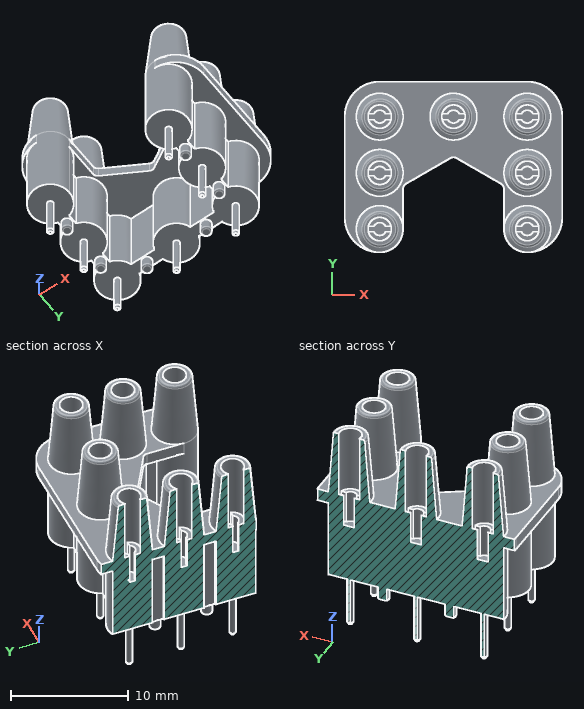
import math

import cadquery as cq

COLUMN_PITCH = 6.3
ROW_PITCH = 4.8
SIDE_ROWS = 3
FRONT_ROW_Y = -(SIDE_ROWS - 1) * ROW_PITCH

HOUSING_HEIGHT = 8.5
PLATE_THICKNESS = 1.2
TOWER_HEIGHT = 6.2
PIN_LENGTH = 4.6
PEG_LENGTH = 1.2
TOWER_TOP_Z = HOUSING_HEIGHT + TOWER_HEIGHT
PLATE_BOTTOM_Z = HOUSING_HEIGHT - PLATE_THICKNESS

HOUSING_RADIUS = 2.0
TOWER_TOP_RADIUS = 1.52
TOWER_RIM_FILLET = 0.2
WEB_THICKNESS = 1.2

PLATE_CORNER_RADIUS = 3.0
NOTCH_APEX_Y = -3.4
NOTCH_ROOF_ANGLE = 30.0
NOTCH_FILLET = 0.5

BORE_RADIUS = 1.0
BORE_DEPTH = TOWER_HEIGHT
SOCKET_RADIUS = 0.55
SLOT_WIDTH = 0.5
SOCKET_DEPTH = 3.0

PIN_RADIUS = 0.3
PIN_TIP_CHAMFER = 0.15
PIN_TIP_HEIGHT = 0.25
PEG_RADIUS = 0.5
PEG_EDGE_FILLET = 0.15

SIDES = (-1, 1)
side_contacts = [(side * COLUMN_PITCH, -row * ROW_PITCH) for side in SIDES for row in range(SIDE_ROWS)]
contacts = [(0, 0)] + side_contacts

back_web_centers = [(side * COLUMN_PITCH / 2, 0) for side in SIDES]
side_web_centers = [
    (side * COLUMN_PITCH, -(gap + 0.5) * ROW_PITCH) for side in SIDES for gap in range(SIDE_ROWS - 1)
]


def make_plate():
    """U-shaped plate with a gabled notch; the front housings complete the round ends of its legs."""
    outer_x = COLUMN_PITCH + PLATE_CORNER_RADIUS
    back_y = PLATE_CORNER_RADIUS
    leg_inner_x = COLUMN_PITCH - HOUSING_RADIUS
    leg_end_y = FRONT_ROW_Y - HOUSING_RADIUS
    leg_corner_y = leg_end_y + PLATE_CORNER_RADIUS
    eave_y = NOTCH_APEX_Y - leg_inner_x * math.tan(math.radians(NOTCH_ROOF_ANGLE))

    plate = (
        cq.Workplane("XY", origin=(0, 0, PLATE_BOTTOM_Z))
        .moveTo(-COLUMN_PITCH, back_y)
        .lineTo(COLUMN_PITCH, back_y)
        .radiusArc((outer_x, 0), PLATE_CORNER_RADIUS)
        .lineTo(outer_x, leg_corner_y)
        .radiusArc((COLUMN_PITCH, leg_end_y), PLATE_CORNER_RADIUS)
        .lineTo(COLUMN_PITCH, FRONT_ROW_Y)
        .lineTo(leg_inner_x, FRONT_ROW_Y)
        .lineTo(leg_inner_x, eave_y)
        .lineTo(0, NOTCH_APEX_Y)
        .lineTo(-leg_inner_x, eave_y)
        .lineTo(-leg_inner_x, FRONT_ROW_Y)
        .lineTo(-COLUMN_PITCH, FRONT_ROW_Y)
        .lineTo(-COLUMN_PITCH, leg_end_y)
        .radiusArc((-outer_x, leg_corner_y), PLATE_CORNER_RADIUS)
        .lineTo(-outer_x, 0)
        .radiusArc((-COLUMN_PITCH, back_y), PLATE_CORNER_RADIUS)
        .close()
        .extrude(PLATE_THICKNESS)
    )
    notch_corners = [(0, NOTCH_APEX_Y), (leg_inner_x, eave_y), (-leg_inner_x, eave_y)]
    for x, y in notch_corners:
        nearest_edge = cq.selectors.NearestToPointSelector((x, y, HOUSING_HEIGHT - PLATE_THICKNESS / 2))
        plate = plate.edges("|Z").edges(nearest_edge).fillet(NOTCH_FILLET)
    return plate


def make_housing():
    """Cylindrical housing carrying a tapered tower with a rounded rim."""
    housing = cq.Workplane("XY").circle(HOUSING_RADIUS).extrude(HOUSING_HEIGHT)
    tower = (
        cq.Workplane("XY", origin=(0, 0, HOUSING_HEIGHT))
        .circle(HOUSING_RADIUS)
        .workplane(offset=TOWER_HEIGHT)
        .circle(TOWER_TOP_RADIUS)
        .loft()
        .faces(">Z")
        .edges()
        .fillet(TOWER_RIM_FILLET)
    )
    return housing.union(tower)


def make_pin():
    """Round pin below the housing with a bevelled tip."""
    return (
        cq.Workplane("XY")
        .circle(PIN_RADIUS)
        .extrude(-PIN_LENGTH)
        .faces("<Z")
        .chamfer(PIN_TIP_HEIGHT, PIN_TIP_CHAMFER)
    )


def make_peg():
    """Short standoff peg with a rounded lower edge."""
    return cq.Workplane("XY").circle(PEG_RADIUS).extrude(-PEG_LENGTH).faces("<Z").edges().fillet(PEG_EDGE_FILLET)


def make_bore():
    """Cutting tool: tower bore that goes on below its floor as a socket with a cross slot."""
    floor_z = TOWER_TOP_Z - BORE_DEPTH
    socket_bottom = cq.Workplane("XY", origin=(0, 0, floor_z - SOCKET_DEPTH))
    block_size = 3 * BORE_RADIUS

    slot = socket_bottom.rect(block_size, SLOT_WIDTH).extrude(SOCKET_DEPTH)
    socket = socket_bottom.circle(SOCKET_RADIUS).extrude(SOCKET_DEPTH)
    jaws = socket_bottom.rect(block_size, block_size).extrude(SOCKET_DEPTH).cut(slot).cut(socket)

    return socket_bottom.circle(BORE_RADIUS).extrude(BORE_DEPTH + SOCKET_DEPTH).cut(jaws)


def make_webs():
    """Walls joining neighbouring housings below the plate."""
    base = cq.Workplane("XY")
    back_webs = base.pushPoints(back_web_centers).rect(COLUMN_PITCH, WEB_THICKNESS).extrude(HOUSING_HEIGHT)
    side_webs = base.pushPoints(side_web_centers).rect(WEB_THICKNESS, ROW_PITCH).extrude(HOUSING_HEIGHT)
    return back_webs.union(side_webs)


def place_copies(shape, points):
    """Copies of a shape at the given XY points, as one workplane."""
    copies = cq.Workplane("XY")
    for x, y in points:
        copies = copies.add(shape.translate((x, y, 0)))
    return copies.combine()


result = (
    make_plate()
    .union(make_webs())
    .union(place_copies(make_housing(), contacts))
    .union(place_copies(make_pin(), contacts))
    .union(place_copies(make_peg(), back_web_centers + side_web_centers))
    .cut(place_copies(make_bore(), contacts))
)